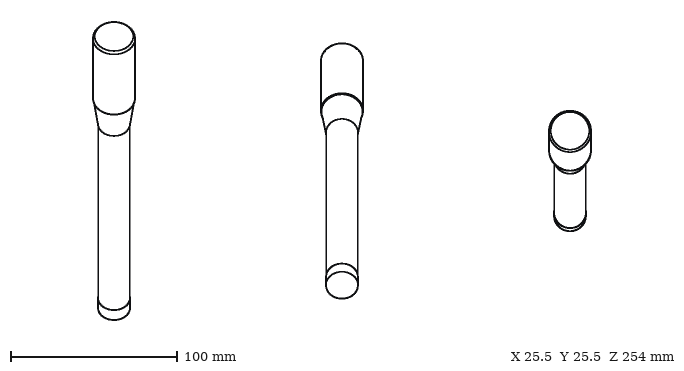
import cadquery as cq
import math

total_length = 254.0
shank_diameter = 25.5

shank_chamfer_height = 1.8
shank_chamfer_width = 1.15
shank_length = 57.1
taper_end_depth = 80.0
taper_top_diameter = 24.6
taper_bottom_diameter = 19.5
step_height = 0.8

neck_diameter = 19.0
tip_diameter = 19.3
tip_length = 12.7
point_angle = 140.0

shank_radius = shank_diameter / 2
neck_radius = neck_diameter / 2
tip_radius = tip_diameter / 2
point_height = tip_radius / math.tan(math.radians(point_angle / 2))

top_z = total_length / 2
bottom_z = top_z - total_length
tip_top_z = bottom_z + tip_length
point_base_z = bottom_z + point_height
shank_bottom_z = top_z - shank_length
taper_bottom_z = top_z - taper_end_depth


def revolve_outline(outline):
    """Turn a closed (radius, height) outline about the Z axis."""
    return (
        cq.Workplane("XZ")
        .polyline(outline)
        .close()
        .revolve(360, (0, 0, 0), (0, 1, 0))
    )


def make_holder():
    """Chamfered shank, taper with a small bevelled step at each end, and slim neck in one body."""
    return revolve_outline([
        (0, top_z),
        (shank_radius - shank_chamfer_width, top_z),
        (shank_radius, top_z - shank_chamfer_height),
        (shank_radius, shank_bottom_z),
        (taper_top_diameter / 2, shank_bottom_z - step_height),
        (taper_bottom_diameter / 2, taper_bottom_z),
        (neck_radius, taper_bottom_z - step_height),
        (neck_radius, tip_top_z),
        (0, tip_top_z),
    ])


def make_tip():
    """Cylindrical drill tip ending in a conical point."""
    return revolve_outline([
        (0, tip_top_z),
        (tip_radius, tip_top_z),
        (tip_radius, point_base_z),
        (0, bottom_z),
    ])


holder = make_holder()
tip = make_tip()
result = cq.Compound.makeCompound([holder.val(), tip.val()])